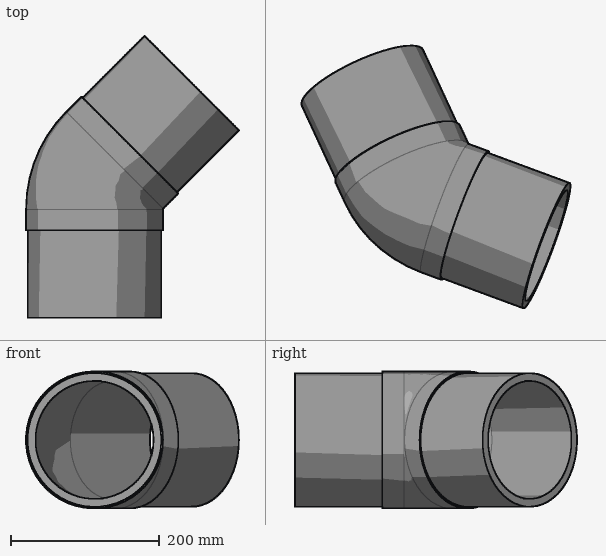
import cadquery as cq
import math

pipe_diameter = 180.0
collar_diameter = 184.5
bore_diameter = 158.5
pipe_length = 117.5
collar_length = 29.0
outer_bend_radius = 93.0
bore_bend_radius = 79.5
bend_angle = 45

leg_length = pipe_length + collar_length

tangent_factor = math.tan(math.radians(bend_angle / 2))
corner_y = outer_bend_radius * tangent_factor
bore_bend_start_y = corner_y - bore_bend_radius * tangent_factor
bore_leg_length = leg_length + bore_bend_start_y


def straight(diameter, length):
    """Cylinder that runs from the origin toward -Y."""
    return cq.Workplane("XZ").circle(diameter / 2).extrude(length)


def elbow(diameter, bend_radius, leg):
    """Round bend from the origin, heading +Y and curving to +X, with a leg at each end."""
    bend = (
        cq.Workplane("XZ")
        .circle(diameter / 2)
        .revolve(bend_angle, (bend_radius, 0, 0), (bend_radius, -1, 0))
    )
    far_leg = leg.mirror("XZ").rotate(
        (bend_radius, 0, 0), (bend_radius, 0, 1), -bend_angle
    )
    return bend.union(leg).union(far_leg)


outer_leg = straight(pipe_diameter, leg_length).union(straight(collar_diameter, collar_length))
body = elbow(collar_diameter, outer_bend_radius, outer_leg)

bore_leg = straight(bore_diameter, bore_leg_length)
bore = elbow(bore_diameter, bore_bend_radius, bore_leg).translate((0, bore_bend_start_y, 0))

result = body.cut(bore)